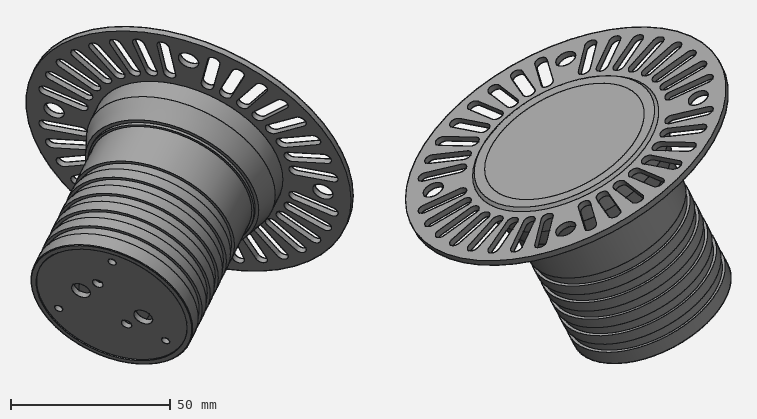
import cadquery as cq
import math

overall_length = 69.58

flange_diameter = 109.5
flange_thickness = 2.0
flange_setback = 1.0
position_count = 36
position_angle = 360 / position_count
slots_per_mount_hole = 9
slot_width = 4.1
slot_inner_radius = 34.4
slot_outer_radius = 51.1
mount_hole_diameter = 6.8
mount_hole_radius = 45.25

collar_radius = 31.8
collar_end_radius = 29.2
collar_chamfer = 1.0
collar_cone_start = 9.6
collar_length = 17.2

gasket_radius = 28.0
gasket_width = 1.0

housing_radius = 27.25
housing_edge_chamfer = 0.25
groove_count = 5
groove_pitch = 7.0
groove_width = 3.4
groove_depth = 1.0
front_land = 5.0

plate_radius = 25.4
plate_recess = 0.5
plate_thickness = 2.0
plate_front = overall_length - plate_recess
plate_back = plate_front - plate_thickness

core_radius = 12.0
core_length = 20.0

screw_count = 3
screw_hole_diameter = 2.7
screw_hole_radius = 20.8
screw_hole_depth = 13.0
first_screw_angle = 90
cable_hole_count = 2
cable_hole_diameter = 3.5
cable_hole_radius = 9.3
cable_hole_depth = 16.0
cable_hole_angle = 121.4
core_hole_radius = 9.6
window_count = 2
window_diameter = 6.3
window_radius = 10.65
window_angle = 169.6

floor_half_angle = 20.0


def plane_at(depth):
    """Plane across the axis, its normal pointing to the front (-Y)."""
    return cq.Workplane("XZ", origin=(0, -depth, 0))


def disc(start, end, radius):
    return plane_at(start).circle(radius).extrude(end - start)


def ring(start, end, outer_radius, inner_radius):
    return plane_at(start).circle(outer_radius).circle(inner_radius).extrude(end - start)


def hole_cutters(start, end, diameter, pitch_radius, first_angle, count):
    """Evenly spaced round cutters on one pitch circle."""
    return (
        plane_at(start)
        .polarArray(pitch_radius, first_angle, 360, count)
        .circle(diameter / 2)
        .extrude(end - start)
    )


def blind_hole_cutters(depth, diameter, pitch_radius, first_angle, count):
    """Cutters going back from the cover plate, each ending on the steep conical floor."""
    floor_back = plate_back - depth
    cutters = hole_cutters(floor_back, plate_back, diameter, pitch_radius, first_angle, count)
    back_radius = pitch_radius + diameter / 2
    front_radius = back_radius - depth * math.tan(math.radians(floor_half_angle))
    floor_origin = cq.Vector(0, -floor_back, 0)
    to_front = cq.Vector(0, -1, 0)
    floor = cq.Solid.makeCone(back_radius, front_radius, depth, floor_origin, to_front)
    return cutters.cut(cq.Workplane(floor))


def make_flange():
    back = flange_setback
    front = flange_setback + flange_thickness
    flange = ring(back, front, flange_diameter / 2, collar_radius)
    slot_length = slot_outer_radius - slot_inner_radius
    slot_center = (slot_outer_radius + slot_inner_radius) / 2
    slot = plane_at(back).center(slot_center, 0).slot2D(slot_length, slot_width).extrude(flange_thickness)
    mount_hole_count = position_count // slots_per_mount_hole
    for position in range(position_count):
        if position % slots_per_mount_hole:
            flange = flange.cut(slot.rotate((0, 0, 0), (0, 1, 0), position * position_angle))
    return flange.cut(hole_cutters(back, front, mount_hole_diameter, mount_hole_radius, 0, mount_hole_count))


def make_collar():
    profile = [
        (housing_radius, 0),
        (collar_radius - collar_chamfer, 0),
        (collar_radius, -collar_chamfer),
        (collar_radius, -collar_cone_start),
        (collar_end_radius, -collar_length),
        (housing_radius, -collar_length),
    ]
    return cq.Workplane("XY").polyline(profile).close().revolve(360, (0, 0, 0), (0, 1, 0))


def make_gasket():
    return ring(collar_length, collar_length + gasket_width, gasket_radius, housing_radius)


def make_housing():
    housing = disc(0, overall_length, housing_radius).faces("<Y").chamfer(housing_edge_chamfer)
    for index in range(groove_count):
        groove_front = overall_length - front_land - index * groove_pitch
        groove_back = groove_front - groove_width
        housing = housing.cut(ring(groove_back, groove_front, housing_radius, housing_radius - groove_depth))
    housing = housing.cut(disc(plate_back, overall_length, plate_radius))
    housing = housing.cut(disc(plate_back - core_length, plate_back, core_radius))
    return housing.cut(
        blind_hole_cutters(
            screw_hole_depth, screw_hole_diameter, screw_hole_radius, first_screw_angle, screw_count
        )
    )


def make_cover_plate():
    plate = disc(plate_back, plate_front, plate_radius)
    hole_patterns = [
        (screw_hole_diameter, screw_hole_radius, first_screw_angle, screw_count),
        (cable_hole_diameter, cable_hole_radius, cable_hole_angle, cable_hole_count),
        (window_diameter, window_radius, window_angle, window_count),
    ]
    for pattern in hole_patterns:
        plate = plate.cut(hole_cutters(plate_back, plate_front, *pattern))
    return plate


def make_core():
    core = disc(plate_back - core_length, plate_back, core_radius)
    return core.cut(
        blind_hole_cutters(
            cable_hole_depth, cable_hole_diameter, core_hole_radius, cable_hole_angle, cable_hole_count
        )
    )


flange = make_flange()
collar = make_collar()
gasket = make_gasket()
housing = make_housing()
cover_plate = make_cover_plate()
core = make_core()

result = cq.Compound.makeCompound(
    [flange.val(), collar.val(), gasket.val(), housing.val(), cover_plate.val(), core.val()]
)